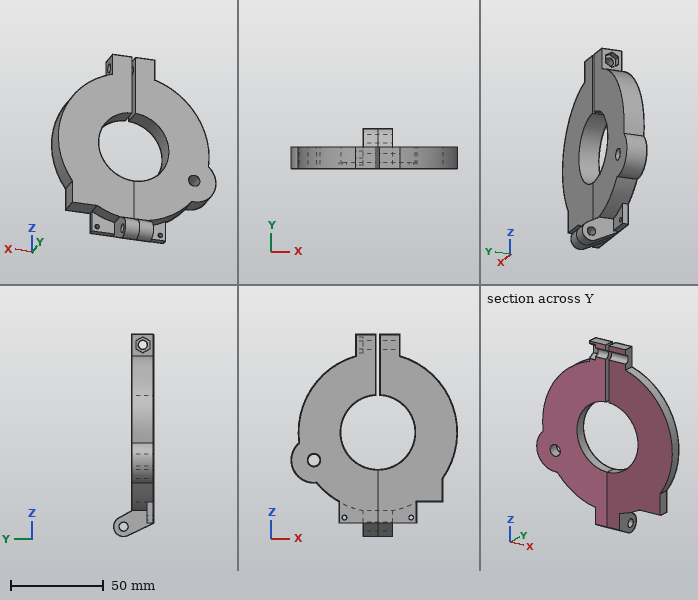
import cadquery as cq
import math

thickness = 12.0
ring_radius = 43.0
bore_radius = 20.0
front_chamfer = 0.4

ear_half_width = 12.0
ear_top = 53.0
gap_half_width = 1.0
clamp_hole_diameter = 4.8
clamp_hole_height = 47.2
nut_across_flats = 7.5
nut_depth = 4.0

lobe_radius = 12.4
lobe_x = -34.5
lobe_z = -15.0
lobe_hole_diameter = 6.4

plate_half_width = 21.0
plate_bottom = -49.0
plate_thickness = 3.6
plate_hole_diameter = 2.4
plate_hole_inset = 3.0
block_right = 35.0

lug_half_width = 8.0
lug_hole_diameter = 4.8
lug_radius = 5.4
lug_y = 16.37
lug_z = -50.87


def circle_height(radius, x):
    """Height above the centre at which a circle passes the given x."""
    return math.sqrt(radius**2 - x**2)


ear_root = circle_height(ring_radius, ear_half_width)
gap_root = circle_height(bore_radius, gap_half_width)
plate_root = -circle_height(ring_radius, plate_half_width)
block_root = -circle_height(ring_radius, block_right)
lug_root = -circle_height(ring_radius, lug_half_width)


def ring_point(degrees):
    """Point (x, z) on the ring, at an angle from +X toward +Z."""
    angle = math.radians(degrees)
    return ring_radius * math.cos(angle), ring_radius * math.sin(angle)


def lobe_corners():
    """Upper and lower points (x, z) where the lobe's circle crosses the ring."""
    distance = math.hypot(lobe_x, lobe_z)
    direction = math.atan2(lobe_z, lobe_x)
    cosine = (ring_radius**2 + distance**2 - lobe_radius**2) / (2 * ring_radius * distance)
    spread = math.acos(cosine)
    return [ring_point(math.degrees(direction + turn)) for turn in (-spread, spread)]


def front_sketch(x, z):
    """Start an outline at (x, z) on the front face; its sketch plane has X right and Z up."""
    return cq.Workplane("XZ").moveTo(x, z)


def drill_y(body, x, z, diameter):
    """Hole along Y through the body."""
    return body.cut(front_sketch(x, z).circle(diameter / 2).extrude(-thickness))


def drill_x(body, y, z, diameter):
    """Hole along X through the body."""
    return body.cut(cq.Workplane("YZ").moveTo(y, z).circle(diameter / 2).extrude(ring_radius, both=True))


def finish_outline(outline, side):
    """Close a half's outline over its ear, gap face and bore, then extrude it."""
    return (
        outline
        .lineTo(side * ear_half_width, ear_top)
        .lineTo(side * gap_half_width, ear_top)
        .lineTo(side * gap_half_width, gap_root)
        .threePointArc((side * bore_radius, 0), (0, -bore_radius))
        .close()
        .extrude(-thickness)
    )


def plate_start(side):
    """Start a half's outline with the split line and its half of the plate."""
    return (
        front_sketch(0, -bore_radius)
        .lineTo(0, plate_bottom)
        .lineTo(side * plate_half_width, plate_bottom)
        .lineTo(side * plate_half_width, plate_root)
    )


def left_blank():
    """Left half with the lobe and its hole."""
    upper, lower = lobe_corners()
    center_distance = math.hypot(lobe_x, lobe_z)
    reach = 1 + lobe_radius / center_distance
    outline = (
        plate_start(-1)
        .threePointArc(ring_point(225), lower)
        .threePointArc((lobe_x * reach, lobe_z * reach), upper)
        .threePointArc(ring_point(150), (-ear_half_width, ear_root))
    )
    return drill_y(finish_outline(outline, -1), lobe_x, lobe_z, lobe_hole_diameter)


def right_blank():
    """Right half with the corner block."""
    outline = (
        plate_start(1)
        .lineTo(block_right, plate_root)
        .lineTo(block_right, block_root)
        .threePointArc(ring_point(0), (ear_half_width, ear_root))
    )
    return finish_outline(outline, 1)


def chamfer_front(body):
    """Chamfer the front edges, except on the split plane and the plate's bottom edge."""
    tolerance = 0.001

    def is_chamfered(edge):
        center = edge.Center()
        on_split_line = abs(center.x) < tolerance
        on_bottom_line = abs(center.z - plate_bottom) < tolerance
        return not (on_split_line or on_bottom_line)

    edges = body.faces("<Y").edges().filter(is_chamfered).sort(lambda edge: -edge.Center().z)
    return edges.chamfer(front_chamfer)


def thin_plate(body, side):
    """Clear the space behind the plate, up to the ring."""
    space = (
        cq.Workplane("XZ", origin=(0, plate_thickness, 0))
        .moveTo(0, -ring_radius)
        .lineTo(0, plate_bottom)
        .lineTo(side * plate_half_width, plate_bottom)
        .lineTo(side * plate_half_width, plate_root)
        .threePointArc(ring_point(270 + side * 15), (0, -ring_radius))
        .close()
        .extrude(plate_thickness - thickness)
    )
    return body.cut(space)


def tangent_point(y, z, turn):
    """Point where a line from (y, z) touches the lug's round end; turn is +1 or -1."""
    dy = y - lug_y
    dz = z - lug_z
    angle = math.atan2(dz, dy) + turn * math.acos(lug_radius / math.hypot(dy, dz))
    return lug_y + lug_radius * math.cos(angle), lug_z + lug_radius * math.sin(angle)


def half_lug(side):
    """Half of the round-ended arm, with sides tangent to its end."""
    upper_root = (thickness, lug_root)
    lower_root = (0, plate_bottom)
    return (
        cq.Workplane("YZ")
        .moveTo(*lower_root)
        .lineTo(*tangent_point(*lower_root, 1))
        .threePointArc((lug_y + lug_radius, lug_z), tangent_point(*upper_root, -1))
        .lineTo(*upper_root)
        .lineTo(0, lug_root)
        .close()
        .extrude(side * lug_half_width)
    )


def cut_nut_pocket(body):
    """Hexagonal pocket with corners up and down, in the outside of the -X ear."""
    across_corners = nut_across_flats / math.cos(math.pi / 6)
    pocket = (
        cq.Workplane("YZ", origin=(-ear_half_width, thickness / 2, clamp_hole_height))
        .transformed(rotate=(0, 0, 90))
        .polygon(6, across_corners)
        .extrude(nut_depth)
    )
    return body.cut(pocket)


def finish_half(blank, side):
    """Chamfer a half, thin its plate, add its half of the lug and drill its holes."""
    body = thin_plate(chamfer_front(blank), side)
    body = body.union(half_lug(side))
    body = drill_x(body, thickness / 2, clamp_hole_height, clamp_hole_diameter)
    body = drill_x(body, lug_y, lug_z, lug_hole_diameter)
    hole_x = side * (plate_half_width - plate_hole_inset)
    return drill_y(body, hole_x, plate_bottom + plate_hole_inset, plate_hole_diameter)


left_half = cut_nut_pocket(finish_half(left_blank(), -1))
right_half = finish_half(right_blank(), 1)

result = cq.Compound.makeCompound([left_half.val(), right_half.val()])